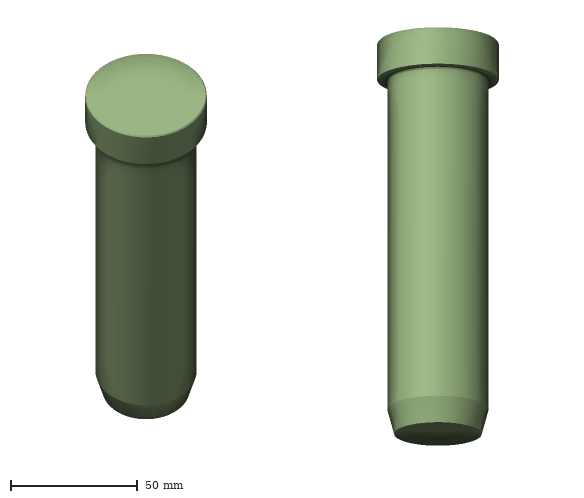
import cadquery as cq

total_length = 160.0
head_diameter = 48.0
head_height = 15.0
head_chamfer = 0.5
shank_diameter = 40.0

groove_width = 1.0
groove_depth = 0.5

tip_diameter = 34.5
tip_length = 10.0

head_radius = head_diameter / 2
shank_radius = shank_diameter / 2
groove_radius = shank_radius - groove_depth
head_bottom = total_length - head_height

profile = (
    cq.Workplane("XZ")
    .lineTo(tip_diameter / 2, 0)
    .lineTo(shank_radius, tip_length)
    .lineTo(shank_radius, head_bottom - groove_width)
    .lineTo(groove_radius, head_bottom - groove_width + groove_depth)
    .lineTo(groove_radius, head_bottom)
    .lineTo(head_radius, head_bottom)
    .lineTo(head_radius, total_length - head_chamfer)
    .lineTo(head_radius - head_chamfer, total_length)
    .lineTo(0, total_length)
    .close()
)

result = profile.revolve(360, (0, 0, 0), (0, 1, 0))